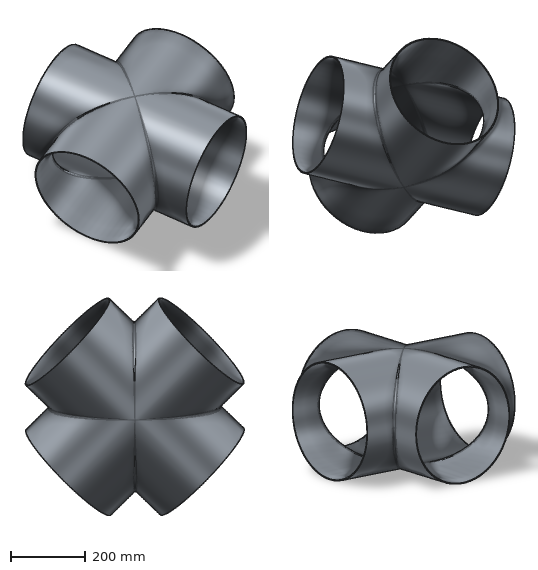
import cadquery as cq

overall_length = 508.0
outer_diameter = 324.0
inner_diameter = 318.0
wall_thickness = (outer_diameter - inner_diameter) / 2

outer_seam_radius = 5.0
inner_seam_radius = outer_seam_radius + wall_thickness


def cylinder_through_origin(plane, diameter):
    """Full-length cylinder along the normal of the plane, centred on the origin."""
    return cq.Workplane(plane).circle(diameter / 2).extrude(overall_length / 2, both=True)


def rounded_cross(diameter, seam_radius):
    """Two equal crossed cylinders with their elliptical seams rounded."""
    along_x = cylinder_through_origin("YZ", diameter)
    along_y = cylinder_through_origin("XZ", diameter)
    cross = along_x.union(along_y)
    seams = [edge for edge in cross.edges().vals() if edge.geomType() == "ELLIPSE"]
    return cross.newObject(seams).fillet(seam_radius)


outer_body = rounded_cross(outer_diameter, outer_seam_radius)
bore = rounded_cross(inner_diameter, inner_seam_radius)
result = outer_body.cut(bore)